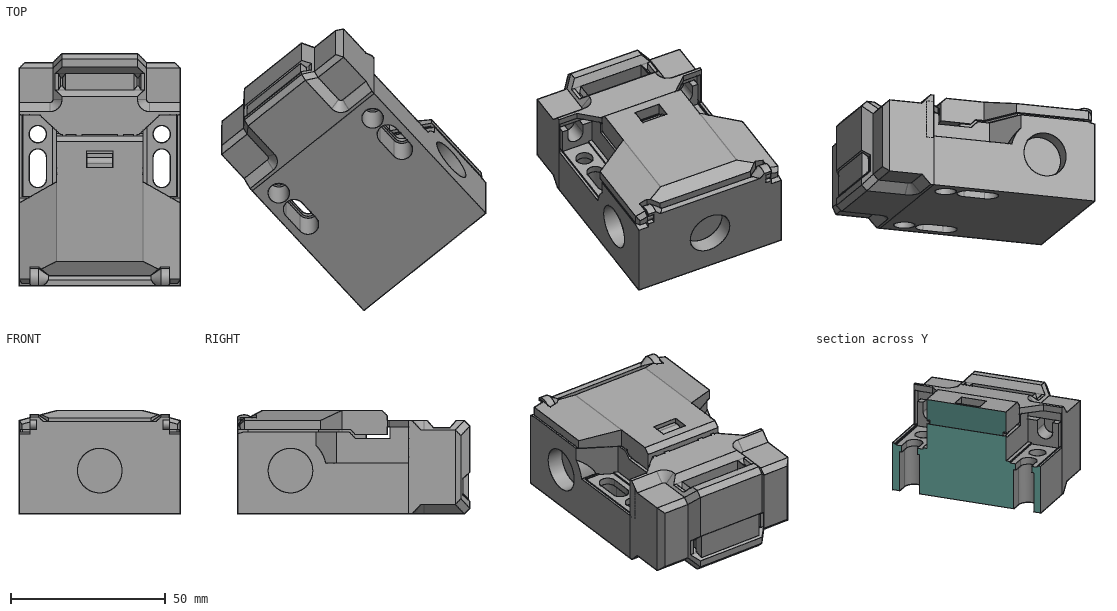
import cadquery as cq
import math

half_width = 26.0
total_length = 75.03
total_height = 33.41
seam_y = 55.2

wall_half_width = 13.95
base_top_z = 26.5
deck_z = 24.4
deck_start_y = 38.1
rear_wall_y = 49.2
slab_bottom_z = 28.1
step_z = 16.4
step_front_outer_y = 25.4
step_front_inner_y = 31.9
recess_front_y = 28.9
recess_depth = 0.5
recess_stage_shares = (0.5, 1.0)
recess_outer_rim = 1.3
recess_inner_rim = 1.35
mount_x = 20.0
mount_diameter = 5.5
mount_hole_y = 49.0
mount_slot_y = 38.0
mount_slot_length = 12.4
mount_relief = 0.7
mount_collar = 2.3
port_diameter = 14.4
port_depth = 5.4
port_z = 14.0
side_port_y = 17.1
port_boss_radius = 11.6
ear_seat_length = 2.2
ear_seat_drop = 0.6

tongue_inner_x = 12.0
tongue_outer_x = half_width - recess_outer_rim
tongue_top_z = deck_z
tongue_depth = 6.0
tongue_headroom_depth = 2.4
tongue_bottom_z = step_z - recess_depth
screw_radius = 2.7
screw_z = 21.1
pocket_wall = 0.4

hinge_y = 2.1
pin_radius = 1.6
pin_z = 28.8
knuckle_radius = 3.6
knuckle_z = 32.05 - knuckle_radius
knuckle_outer_x = 22.5
knuckle_cone_x = 19.8
knuckle_inner_x = 16.5
knuckle_tip_radius = 1.3
pin_window_inner_x = 20.4
front_wall_top_z = 29.9
front_wall_thickness = 2.0
front_wall_bevel = 1.2

ridge_half_width = 13.9
lid_edge_z = 30.2
lid_front_bottom_z = 27.2
lid_rear_bottom_z = 25.6
lid_front_y = 3.4
lid_front_edge_z = 31.0
lid_ridge_start_y = 7.95
lid_step_front_y = 36.5
lid_rear_y = 48.4
lid_rear_bevel = 1.75
lid_slant_outer_y = 26.8
lid_slant_inner_y = 33.65
notch_end_y = 6.2
ear_front_y = 0.8
ear_bevel = 1.4
ear_side_bevel = 0.9
lip_inset = 1.0
lip_rear_y = 41.6
window_half_width = 4.35
window_front_y = 38.2
window_rear_y = 43.6
window_floor_z = 29.4
catch_foot_height = 0.6
catch_foot_z = window_floor_z + catch_foot_height
catch_foot_end_y = 42.8
catch_half_width = 4.05
catch_flat_end_y = 39.5
catch_radius = 2.0

head_top_z = 30.2
head_bevel = 1.8
shoulder_drop = 3.1
shoulder_setback = 2.93
centre_half_width = 12.2
shoulder_inner_x = centre_half_width + shoulder_setback
shoulder_front_y = 59.2
relief_x = 16.1
relief_small_radius = relief_x - shoulder_inner_x
relief_y = shoulder_front_y + relief_small_radius
relief_large_radius = relief_x - centre_half_width
slab_wide_x = 19.4
slab_narrow_x = 12.7
slab_front_y = 48.9
tooth_spans = [(5.7, 7.6), (10.9, 12.1)]

mouth_depth = 2.3
mouth_half_height = 4.7
throat_half_height = 2.65
mouth_slope = (mouth_half_height - throat_half_height) / mouth_depth
throat_half_length = 11.0
pit_half_height = 1.3
pit_floor_inner_x = 12.1
pit_floor_outer_x = 12.6
pit_outer_x = 13.3
throat_depth = 10.0
top_slot_y = 65.9
rear_slot_z = 8.8
plug_half_length = 11.4
plug_end_taper = 0.9
plug_recess = 0.45
plug_gap = 0.35


def box(x0, x1, y0, y1, z0, z1):
    return cq.Workplane("XY").box(x1 - x0, y1 - y0, z1 - z0, centered=False).translate((x0, y0, z0))


def prism_up(points, z0, z1):
    """Plan outline raised from z0 to z1."""
    return cq.Workplane("XY").workplane(offset=z0).polyline(points).close().extrude(z1 - z0)


def prism_across(points, x0, x1):
    """(Y, Z) side profile carried from x0 to x1."""
    return cq.Workplane("YZ").workplane(offset=x0).polyline(points).close().extrude(x1 - x0)


def bar_across(y, z, radius, x0, x1):
    """Round bar along X."""
    return cq.Workplane("YZ").workplane(offset=x0).center(y, z).circle(radius).extrude(x1 - x0)


def mirrored(shape):
    return shape.mirror("YZ")


def add_both(body, shape):
    return body.union(shape).union(mirrored(shape))


def cut_both(body, shape):
    return body.cut(shape).cut(mirrored(shape))


def mounting_step():
    """Space above the left mounting step, with its recessed floor, clear of the side port boss."""
    outer_x = half_width + 1
    slant = (step_front_inner_y - step_front_outer_y) / (half_width - wall_half_width)
    plan = [
        (-outer_x, step_front_outer_y - slant),
        (-wall_half_width, step_front_inner_y),
        (-wall_half_width, seam_y),
        (-outer_x, seam_y),
    ]
    space = prism_up(plan, step_z, total_height)
    for share in recess_stage_shares:
        recess = box(
            -half_width + (1 + share) / 2 * recess_outer_rim,
            -wall_half_width - recess_inner_rim,
            recess_front_y,
            seam_y,
            step_z - share * recess_depth,
            step_z,
        )
        space = space.union(recess.intersect(prism_up(plan, 0, total_height)))
    boss = bar_across(side_port_y, port_z, port_boss_radius, -outer_x, -wall_half_width)
    return space.cut(boss)


def mounting_holes():
    """Round hole and slot through the left step, both wider below a thin collar."""
    holes = cq.Workplane("XY")
    for widening, height in ((0, step_z), (2 * mount_relief, tongue_bottom_z - mount_collar)):
        diameter = mount_diameter + widening
        length = mount_slot_length + widening
        hole = cq.Workplane("XY").center(-mount_x, mount_hole_y).circle(diameter / 2)
        slot = cq.Workplane("XY").center(-mount_x, mount_slot_y).slot2D(length, diameter, 90)
        holes = holes.union(hole.extrude(height)).union(slot.extrude(height))
    return holes


def screw_tongue():
    tongue = box(
        -tongue_outer_x, -tongue_inner_x, seam_y, seam_y + tongue_depth, tongue_bottom_z, tongue_top_z
    )
    channel = (
        cq.Workplane("XZ", origin=(0, seam_y, 0))
        .moveTo(-mount_x - screw_radius, tongue_top_z)
        .lineTo(-mount_x - screw_radius, screw_z)
        .threePointArc((-mount_x, screw_z - screw_radius), (-mount_x + screw_radius, screw_z))
        .lineTo(-mount_x + screw_radius, tongue_top_z)
        .close()
        .extrude(-tongue_depth)
    )
    return tongue.cut(channel)


def knuckle():
    """Left hinge knuckle: a round bar and cone on a foot, cut flush with the front face."""
    cylinder = bar_across(hinge_y, knuckle_z, knuckle_radius, -knuckle_outer_x, -knuckle_cone_x)
    cone_length = knuckle_cone_x - knuckle_inner_x
    cone = cq.Workplane(
        cq.Solid.makeCone(
            knuckle_radius,
            knuckle_tip_radius,
            cone_length,
            cq.Vector(-knuckle_cone_x, hinge_y, knuckle_z),
            cq.Vector(1, 0, 0),
        )
    )
    foot = box(-knuckle_outer_x, -knuckle_inner_x, 0, front_wall_thickness, base_top_z, front_wall_top_z)
    rear_y = hinge_y + knuckle_radius
    in_reach = box(-half_width, 0, 0, rear_y, base_top_z, total_height)
    return cylinder.union(cone).intersect(in_reach).union(foot)


def pin_window():
    return box(
        -knuckle_outer_x,
        -pin_window_inner_x,
        0,
        hinge_y + pin_radius,
        pin_z - pin_radius,
        pin_z + pin_radius,
    )


def make_base():
    slope = base_top_z - deck_z
    profile = [
        (0, 0),
        (0, base_top_z),
        (deck_start_y - slope, base_top_z),
        (deck_start_y, deck_z),
        (seam_y, deck_z),
        (seam_y, 0),
    ]
    base = prism_across(profile, -half_width, half_width)
    base = cut_both(base, mounting_step())
    base = cut_both(base, mounting_holes())

    rear_wall = box(-wall_half_width, wall_half_width, rear_wall_y, seam_y, deck_z, slab_bottom_z)
    base = base.union(rear_wall)
    base = add_both(base, screw_tongue())

    bevel_y = front_wall_thickness + front_wall_bevel
    front_wall = [
        (0, base_top_z),
        (0, front_wall_top_z),
        (front_wall_thickness, front_wall_top_z),
        (bevel_y, front_wall_top_z - front_wall_bevel),
        (bevel_y, base_top_z),
    ]
    base = base.union(prism_across(front_wall, -knuckle_inner_x, knuckle_inner_x))
    base = add_both(base, knuckle())
    base = cut_both(base, pin_window())
    ear_seat = [(0, base_top_z), (0, base_top_z - ear_seat_drop), (ear_seat_length, base_top_z)]
    base = cut_both(base, prism_across(ear_seat, -half_width, -knuckle_outer_x))

    front_port = cq.Workplane("XZ").center(0, port_z).circle(port_diameter / 2).extrude(-port_depth)
    side_port = bar_across(side_port_y, port_z, port_diameter / 2, -half_width, -half_width + port_depth)
    return cut_both(base.cut(front_port), side_port)


def lid_plan():
    """Plan outline: full width at the front, narrowing on a slant to the rear tab."""
    return [
        (-half_width, ear_front_y),
        (-half_width, lid_slant_outer_y),
        (-ridge_half_width, lid_slant_inner_y),
        (-ridge_half_width, lid_rear_y),
        (ridge_half_width, lid_rear_y),
        (ridge_half_width, lid_slant_inner_y),
        (half_width, lid_slant_outer_y),
        (half_width, ear_front_y),
    ]


def lid_shell():
    step = lid_front_bottom_z - lid_rear_bottom_z
    side_profile = [
        (ear_front_y, lid_front_bottom_z),
        (ear_front_y, total_height),
        (lid_rear_y - lid_rear_bevel, total_height),
        (lid_rear_y, total_height - lid_rear_bevel),
        (lid_rear_y, lid_rear_bottom_z),
        (lid_step_front_y + step, lid_rear_bottom_z),
        (lid_step_front_y, lid_front_bottom_z),
    ]
    roof_section = [
        (-half_width, 0),
        (-half_width, lid_edge_z),
        (-ridge_half_width, total_height),
        (ridge_half_width, total_height),
        (half_width, lid_edge_z),
        (half_width, 0),
    ]
    roof = cq.Workplane("XZ").polyline(roof_section).close().extrude(-total_length)
    shell = prism_across(side_profile, -half_width, half_width)
    shell = shell.intersect(roof).intersect(prism_up(lid_plan(), 0, total_height))
    front_slope = [
        (lid_front_y, lid_front_edge_z),
        (lid_ridge_start_y, total_height),
        (lid_front_y, total_height),
    ]
    return shell.cut(prism_across(front_slope, -knuckle_outer_x, knuckle_outer_x))


def lid_lip():
    """Locating lip under the lid that rests on the base, following its step."""
    step = base_top_z - deck_z
    profile = [
        (lid_front_y, base_top_z),
        (lid_front_y, lid_edge_z),
        (lip_rear_y, lid_edge_z),
        (lip_rear_y, deck_z),
        (deck_start_y, deck_z),
        (deck_start_y - step, base_top_z),
    ]
    plan = cq.Workplane("XY").polyline(lid_plan()).close().offset2D(-lip_inset).extrude(total_height)
    ceiling = box(-half_width, half_width, 0, total_length, 0, lid_front_bottom_z)
    return prism_across(profile, -half_width, half_width).intersect(plan).intersect(ceiling)


def front_notch():
    """Plan cut-out that clears the front wall and both knuckles."""
    left = [
        (-knuckle_outer_x, 0),
        (-knuckle_outer_x, notch_end_y),
        (-knuckle_cone_x, notch_end_y),
        (-knuckle_inner_x, lid_front_y),
    ]
    right = [(-x, y) for x, y in reversed(left)]
    return prism_up(left + right, 0, total_height)


def ear_corner():
    """Bevels along the top front edge, parallel to the roof, and the outer front corner of the left ear."""
    bevel_end_y = ear_front_y + ear_bevel
    bevel = [
        (ear_front_y, lid_edge_z - ear_bevel),
        (ear_front_y, lid_edge_z),
        (bevel_end_y, lid_edge_z),
    ]
    roof_run = half_width - ridge_half_width
    roof_angle = math.degrees(math.atan2(total_height - lid_edge_z, roof_run))
    roof_edge = (-half_width, 0, lid_edge_z)
    along_edge = (-half_width, 1, lid_edge_z)
    top_bevel = prism_across(bevel, -half_width - 1, -knuckle_outer_x)
    top_bevel = top_bevel.rotate(roof_edge, along_edge, -roof_angle)
    side = [
        (-half_width, ear_front_y),
        (-half_width, bevel_end_y),
        (-half_width + ear_side_bevel, ear_front_y),
    ]
    return top_bevel.union(prism_up(side, 0, total_height))


def window_catch():
    """Rounded catch on the floor of the lid window."""
    top_z = catch_foot_z + catch_radius
    round_end_y = catch_flat_end_y + catch_radius
    diagonal = catch_radius * math.sqrt(0.5)
    return (
        cq.Workplane("YZ", origin=(-catch_half_width, 0, 0))
        .moveTo(window_front_y, window_floor_z)
        .lineTo(window_front_y, top_z)
        .lineTo(catch_flat_end_y, top_z)
        .threePointArc(
            (catch_flat_end_y + diagonal, catch_foot_z + diagonal), (round_end_y, catch_foot_z)
        )
        .lineTo(catch_foot_end_y, catch_foot_z)
        .lineTo(catch_foot_end_y, window_floor_z)
        .close()
        .extrude(2 * catch_half_width)
    )


def make_lid():
    lid = lid_shell().union(lid_lip()).cut(front_notch())
    lid = cut_both(lid, ear_corner())
    pin = bar_across(hinge_y, pin_z, pin_radius, -knuckle_outer_x, -pin_window_inner_x)
    lid = add_both(lid, pin)
    window = box(
        -window_half_width,
        window_half_width,
        window_front_y,
        window_rear_y,
        window_floor_z,
        total_height,
    )
    return lid.cut(window).union(window_catch())


def rear_outline(setback, drop):
    """(Y, Z) points of the bevelled rear of the head, pulled in at the rear, top and bottom."""
    rear = total_length - setback
    top = head_top_z - drop
    return [
        (rear - head_bevel, drop),
        (rear, drop + head_bevel),
        (rear, top - head_bevel),
        (rear - head_bevel, top),
    ]


def shoulder_body():
    """Full-width part, rising from the lowered shoulders to full height at the front."""
    shoulder_top_z = head_top_z - shoulder_drop
    ramp_end_y = shoulder_front_y - shoulder_setback
    front = [
        (shoulder_front_y, shoulder_top_z),
        (ramp_end_y, head_top_z),
        (seam_y, head_top_z),
        (seam_y, 0),
        (ramp_end_y, 0),
        (shoulder_front_y, shoulder_drop),
    ]
    profile = rear_outline(shoulder_setback, shoulder_drop) + front
    body = prism_across(profile, -half_width, half_width)
    rear_y = total_length - shoulder_setback
    corner = [
        (-half_width, rear_y - head_bevel),
        (-half_width, rear_y),
        (-half_width + head_bevel, rear_y),
    ]
    return cut_both(body, prism_up(corner, 0, head_top_z))


def sloped_flank():
    """Left flank running from the full-height centre down to the shoulder."""
    wires = []
    for x, setback, drop in (
        (-shoulder_inner_x, shoulder_setback, shoulder_drop),
        (-centre_half_width, 0, 0),
    ):
        outline = [(relief_y, drop)] + rear_outline(setback, drop) + [(relief_y, head_top_z - drop)]
        wires.append(cq.Wire.makePolygon([cq.Vector(x, y, z) for y, z in outline], close=True))
    return cq.Workplane(cq.Solid.makeLoft(wires, True))


def corner_relief(outer_z, direction):
    """Conical relief of the left shoulder corner, narrowing from outer_z along Z."""
    return cq.Workplane(
        cq.Solid.makeCone(
            relief_large_radius,
            relief_small_radius,
            shoulder_drop,
            cq.Vector(-relief_x, relief_y, outer_z),
            cq.Vector(0, 0, direction),
        )
    )


def front_slab():
    """Overhanging slab with teeth that reach the rear of the lid."""
    plan = [
        (-slab_wide_x, seam_y),
        (-slab_narrow_x, slab_front_y),
        (slab_narrow_x, slab_front_y),
        (slab_wide_x, seam_y),
    ]
    slab = prism_up(plan, slab_bottom_z, head_top_z)
    for inner_x, outer_x in tooth_spans:
        slab = add_both(
            slab, box(-outer_x, -inner_x, lid_rear_y, slab_front_y, slab_bottom_z, head_top_z)
        )
    return slab


def throat():
    """Key passage below a mouth that opens at Z = 0."""
    return box(
        -throat_half_length,
        throat_half_length,
        -throat_half_height,
        throat_half_height,
        -throat_depth,
        -mouth_depth,
    )


def end_pit():
    """Small pit at the left end of the throat, where the mouth's side walls run deeper."""
    pit_depth = mouth_depth + throat_half_height - pit_half_height
    walls = [
        (-throat_half_height, -mouth_depth),
        (-pit_half_height, -pit_depth),
        (pit_half_height, -pit_depth),
        (throat_half_height, -mouth_depth),
    ]
    length_section = [
        (-pit_outer_x, -mouth_depth),
        (-pit_floor_outer_x, -pit_depth),
        (-pit_floor_inner_x, -pit_depth),
        (-throat_half_length, -mouth_depth),
    ]
    along = cq.Workplane("XZ").polyline(length_section).close().extrude(throat_half_height, both=True)
    return prism_across(walls, -pit_outer_x, -throat_half_length).intersect(along)


def key_slot():
    """Funnel mouth and throat of a key slot, opening upward at Z = 0."""
    mouth = [
        (-mouth_half_height, 0),
        (-throat_half_height, -mouth_depth),
        (throat_half_height, -mouth_depth),
        (mouth_half_height, 0),
    ]
    funnel = prism_across(mouth, -shoulder_inner_x, shoulder_inner_x)
    return add_both(funnel.union(throat()), end_pit())


def to_rear_slot(shape):
    return shape.rotate((0, 0, 0), (1, 0, 0), -90).translate((0, total_length, rear_slot_z))


def tongue_pocket():
    """Pocket for the left tongue, with open space above and outside its front part."""
    headroom = box(
        -half_width + pocket_wall,
        -tongue_inner_x,
        seam_y,
        seam_y + tongue_headroom_depth,
        tongue_bottom_z,
        slab_bottom_z,
    )
    seat = box(
        -tongue_outer_x, -tongue_inner_x, seam_y, seam_y + tongue_depth, tongue_bottom_z, tongue_top_z
    )
    return headroom.union(seat)


def make_head():
    head = shoulder_body()
    centre = rear_outline(0, 0) + [(seam_y, head_top_z), (seam_y, 0)]
    head = head.union(prism_across(centre, -centre_half_width, centre_half_width))
    head = add_both(head, sloped_flank())
    head = head.union(box(-relief_x, relief_x, seam_y, relief_y, 0, head_top_z))
    for outer_z, direction in ((head_top_z, -1), (0, 1)):
        head = cut_both(head, corner_relief(outer_z, direction))
    head = head.union(front_slab())
    head = cut_both(head, tongue_pocket())
    head = head.cut(key_slot().translate((0, top_slot_y, head_top_z)))
    return head.cut(to_rear_slot(key_slot()))


def make_plug():
    """Plug with tapered ends that rests on the upper mouth wall and leaves a gap at the lower one."""
    cover = [
        (-mouth_half_height + plug_recess * mouth_slope, -plug_recess),
        (-throat_half_height, -mouth_depth),
        (throat_half_height - plug_gap, -mouth_depth),
        (mouth_half_height - plug_recess * mouth_slope - plug_gap, -plug_recess),
    ]
    ends = [
        (-plug_half_length, -plug_recess),
        (-plug_half_length - plug_end_taper, -mouth_depth),
        (plug_half_length + plug_end_taper, -mouth_depth),
        (plug_half_length, -plug_recess),
    ]
    end_shape = cq.Workplane("XZ").polyline(ends).close().extrude(mouth_half_height, both=True)
    plug = prism_across(cover, -shoulder_inner_x, shoulder_inner_x).intersect(end_shape)
    return to_rear_slot(plug.union(throat()))


base = make_base()
lid = make_lid()
head = make_head()
plug = make_plug()
result = cq.Compound.makeCompound([base.val(), lid.val(), head.val(), plug.val()])